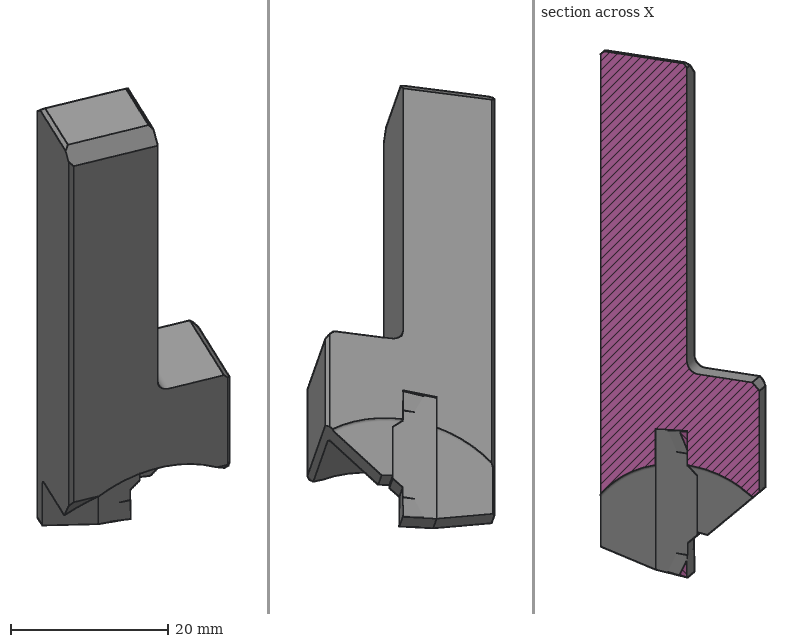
import cadquery as cq
import math

WIDTH = 11.97
SHANK_DEPTH = 12.0
HEAD_DEPTH = 22.0
TOTAL_HEIGHT = 70.0
SHELF_Z = 28.0
SHELF_FILLET = 1.5
SHELF_CHAMFER = 1.0
EDGE_CHAMFER = 0.5
END_CHAMFER = 2.0

HEEL_Z = 2.4
BACK_SLOPE_END = (14.75, 6.2)
BLADE_LIP_Z = 6.4
BACK_SLOPE_TOP_Z = 13.2

INSERT_LENGTH = 20.0
INSERT_BASE_Y = 7.6
RAKE_Y = 12.0
CREST_Y = 13.3
CREST_START_Z = 5.9
CREST_FOOT_Z = 4.7
TIP_WIDTH = 2.5
BODY_WIDTH = 2.1
TIP_LENGTH = 3.1
TIP_CORNER = 0.2
END_RELIEF_RISE = 0.4
SIDE_RELIEF_ANGLE = 4.2
BACK_TAPER_ANGLE = 1.7

RELIEF_RADIUS = 15.5
RELIEF_CENTER = (RAKE_Y, 0)
RELIEF_FILLET = 0.5
FLANK_BEVEL_Z = RELIEF_CENTER[1] + math.sqrt(RELIEF_RADIUS**2 - RELIEF_CENTER[0]**2)
FLANK_BEVEL_WIDTH = 2.0
FLANK_BEVEL_HEIGHT = FLANK_BEVEL_WIDTH * math.tan(math.radians(60))

BLADE_START_X = (TIP_WIDTH - BODY_WIDTH) / 2
BLADE_END_X = BLADE_START_X + BODY_WIDTH


def prism(points, start_x, end_x):
    """Extrude a (y, z) outline along X."""
    outline = cq.Workplane("YZ", origin=(start_x, 0, 0)).polyline(points).close()
    return outline.extrude(end_x - start_x)


def insert_outline():
    """Side outline (y, z), symmetric about the middle of the insert."""
    lower_half = [
        (INSERT_BASE_Y, END_RELIEF_RISE),
        (RAKE_Y, 0),
        (RAKE_Y, CREST_FOOT_Z),
        (CREST_Y, CREST_START_Z),
    ]
    upper_half = [(y, INSERT_LENGTH - z) for y, z in reversed(lower_half)]
    return lower_half + upper_half


def tip_section(y, end_z, front_half_width):
    """Tip cross-section at height y: rounded cutting corners, narrowing away from the end."""
    middle_x = TIP_WIDTH / 2
    back_half_width = front_half_width - TIP_LENGTH * math.tan(math.radians(BACK_TAPER_ANGLE))
    corner_sag = TIP_CORNER * (1 - math.sqrt(0.5))
    flat = front_half_width - TIP_CORNER
    bulge = front_half_width - corner_sag
    side_z = end_z + TIP_CORNER

    edges = [
        cq.Edge.makeLine(cq.Vector(middle_x - flat, y, end_z), cq.Vector(middle_x + flat, y, end_z)),
        cq.Edge.makeThreePointArc(
            cq.Vector(middle_x + flat, y, end_z),
            cq.Vector(middle_x + bulge, y, end_z + corner_sag),
            cq.Vector(middle_x + front_half_width, y, side_z),
        ),
        cq.Edge.makeLine(
            cq.Vector(middle_x + front_half_width, y, side_z),
            cq.Vector(middle_x + back_half_width, y, TIP_LENGTH),
        ),
        cq.Edge.makeLine(
            cq.Vector(middle_x + back_half_width, y, TIP_LENGTH),
            cq.Vector(middle_x - back_half_width, y, TIP_LENGTH),
        ),
        cq.Edge.makeLine(
            cq.Vector(middle_x - back_half_width, y, TIP_LENGTH),
            cq.Vector(middle_x - front_half_width, y, side_z),
        ),
        cq.Edge.makeThreePointArc(
            cq.Vector(middle_x - front_half_width, y, side_z),
            cq.Vector(middle_x - bulge, y, end_z + corner_sag),
            cq.Vector(middle_x - flat, y, end_z),
        ),
    ]
    return cq.Wire.assembleEdges(edges)


def make_tip():
    """Lower cutting tip, relieved on its end and both sides toward the base."""
    depth = RAKE_Y - INSERT_BASE_Y
    side_relief = depth * math.tan(math.radians(SIDE_RELIEF_ANGLE))
    rake = tip_section(RAKE_Y, 0, TIP_WIDTH / 2)
    base = tip_section(INSERT_BASE_Y, END_RELIEF_RISE, TIP_WIDTH / 2 - side_relief)
    return cq.Workplane(cq.Solid.makeLoft([rake, base], True))


def make_insert():
    """Plain body with a cutting tip at each end."""
    body = prism(insert_outline(), BLADE_START_X, BLADE_END_X)
    lower_tip = make_tip()
    upper_tip = lower_tip.mirror("XY", (0, 0, INSERT_LENGTH / 2))
    return body.union(lower_tip).union(upper_tip)


def make_blank():
    """Shank and head as one block with its edge chamfers."""
    outline = [
        (0, HEEL_Z),
        (INSERT_BASE_Y, END_RELIEF_RISE),
        (INSERT_BASE_Y, BLADE_LIP_Z),
        (CREST_Y, BLADE_LIP_Z),
        BACK_SLOPE_END,
        (HEAD_DEPTH, BACK_SLOPE_TOP_Z),
        (HEAD_DEPTH, SHELF_Z),
        (SHANK_DEPTH, SHELF_Z),
        (SHANK_DEPTH, TOTAL_HEIGHT),
        (0, TOTAL_HEIGHT),
    ]
    blank = prism(outline, 0, WIDTH)
    blank = blank.edges(cq.NearestToPointSelector((WIDTH / 2, SHANK_DEPTH, SHELF_Z))).fillet(SHELF_FILLET)
    blank = blank.edges(cq.NearestToPointSelector((WIDTH / 2, HEAD_DEPTH, SHELF_Z))).chamfer(SHELF_CHAMFER)
    blank = blank.faces("<Y or >Y").edges("|Z").chamfer(EDGE_CHAMFER)
    return blank


def chamfer_shank_end(blank):
    """Trim the shank end: wide bevels on the X sides, narrow ones on the Y sides."""
    for side in (0, 1):
        x = side * WIDTH
        inward_x = END_CHAMFER * (1 - 2 * side)
        x_bevel = (
            cq.Workplane("XZ", origin=(0, HEAD_DEPTH, 0))
            .polyline([(x, TOTAL_HEIGHT - END_CHAMFER), (x, TOTAL_HEIGHT), (x + inward_x, TOTAL_HEIGHT)])
            .close()
            .extrude(HEAD_DEPTH)
        )
        y = side * SHANK_DEPTH
        inward_y = EDGE_CHAMFER * (1 - 2 * side)
        y_bevel = prism(
            [(y, TOTAL_HEIGHT - EDGE_CHAMFER), (y, TOTAL_HEIGHT), (y + inward_y, TOTAL_HEIGHT)], 0, WIDTH
        )
        blank = blank.cut(x_bevel).cut(y_bevel)
    return blank


def relief_cylinder(face_x, direction):
    """Cylinder along X whose end at face_x leaves a fillet beside the blade."""
    return (
        cq.Workplane("YZ", origin=(face_x, 0, 0))
        .center(*RELIEF_CENTER)
        .circle(RELIEF_RADIUS)
        .extrude(direction * WIDTH)
        .edges("<X" if direction > 0 else ">X")
        .fillet(RELIEF_FILLET)
    )


def flank_bevel():
    """Wedge below the sloping lower edge of the +X flank."""
    return (
        cq.Workplane("XZ", origin=(0, HEAD_DEPTH, 0))
        .polyline([
            (WIDTH - FLANK_BEVEL_WIDTH, FLANK_BEVEL_Z),
            (WIDTH, FLANK_BEVEL_Z + FLANK_BEVEL_HEIGHT),
            (WIDTH, FLANK_BEVEL_Z),
        ])
        .close()
        .extrude(HEAD_DEPTH)
    )


def make_holder():
    """Blank thinned to a blade around the insert, with the insert pocket cut through it."""
    body = chamfer_shank_end(make_blank())
    body = body.cut(relief_cylinder(BLADE_START_X, -1))
    body = body.cut(relief_cylinder(BLADE_END_X, 1))
    body = body.cut(flank_bevel())
    pocket = prism(insert_outline(), 0, TIP_WIDTH)
    return body.cut(pocket)


insert = make_insert()
holder = make_holder()

result = cq.Compound.makeCompound([holder.val(), insert.val()])